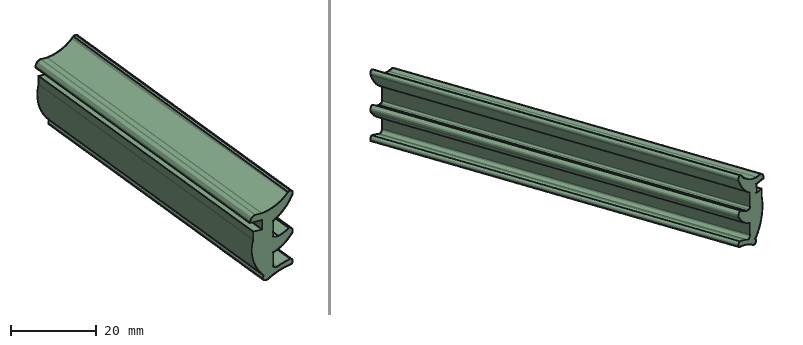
import cadquery as cq

length = 100.0
depth = 11.6
height = 21.6

web_back = 6.3
front_face = 0.9
front_flat_bottom = 11.2

slot_floor = 3.3
slot_bottom = 13.3
slot_top = 15.7
lip_top = 17.5
lip_start = 1.5
sweep_end = 3.2

bead_radius = 0.8
bead_y = 4.3
bead_start = (3.8, 1.3)
bead_front = (bead_y - bead_radius, bead_radius)
bead_bottom = (bead_y, 0)

lower_tip = (depth, 3.3)
middle_tip = (depth, 11.1)
upper_tip = (depth, 20.8)
upper_tip_top = (10.9, height)


def front_outline(section):
    """Lip, slot, bowed front face and bead, from top to bottom."""
    return (
        section.lineTo(lip_start, lip_top)
        .threePointArc((0.5, 16.9), (0, slot_top))
        .lineTo(slot_floor, slot_top)
        .lineTo(slot_floor, slot_bottom)
        .lineTo(front_face, slot_bottom)
        .lineTo(front_face, front_flat_bottom)
        .threePointArc((1.0, 5.6), bead_start)
        .threePointArc(bead_front, bead_bottom)
    )


def lower_flap(section):
    """Thin curved flap ending in a round tip."""
    return (
        section.lineTo(4.8, 0.1)
        .threePointArc((7.7, 1.6), (10.9, 2.5))
        .threePointArc(lower_tip, (10.9, 4.0))
        .threePointArc((8.9, 3.4), (7.4, 2.8))
        .threePointArc((6.7, 2.8), (web_back, 3.6))
    )


def middle_flap(section):
    """Tapered flap between the two rear recesses."""
    return (
        section.lineTo(web_back, 6.7)
        .threePointArc((9.0, 8.1), (11.2, 10.3))
        .threePointArc(middle_tip, (10.5, 12.0))
        .threePointArc((9.2, 11.2), (7.7, 10.6))
        .lineTo(6.8, 10.6)
        .threePointArc((6.4, 10.7), (web_back, 11.1))
    )


def upper_flap(section):
    """Long flap sweeping up to the highest point of the section."""
    return (
        section.lineTo(web_back, 14.8)
        .threePointArc((9.5, 17.4), (11.5, 20.4))
        .threePointArc(upper_tip, upper_tip_top)
        .lineTo(10.3, 21.3)
        .threePointArc((7.4, 18.9), (sweep_end, lip_top))
    )


section = cq.Workplane("YZ").moveTo(sweep_end, lip_top)
for add_outline in (front_outline, lower_flap, middle_flap, upper_flap):
    section = add_outline(section)

result = section.close().extrude(length)